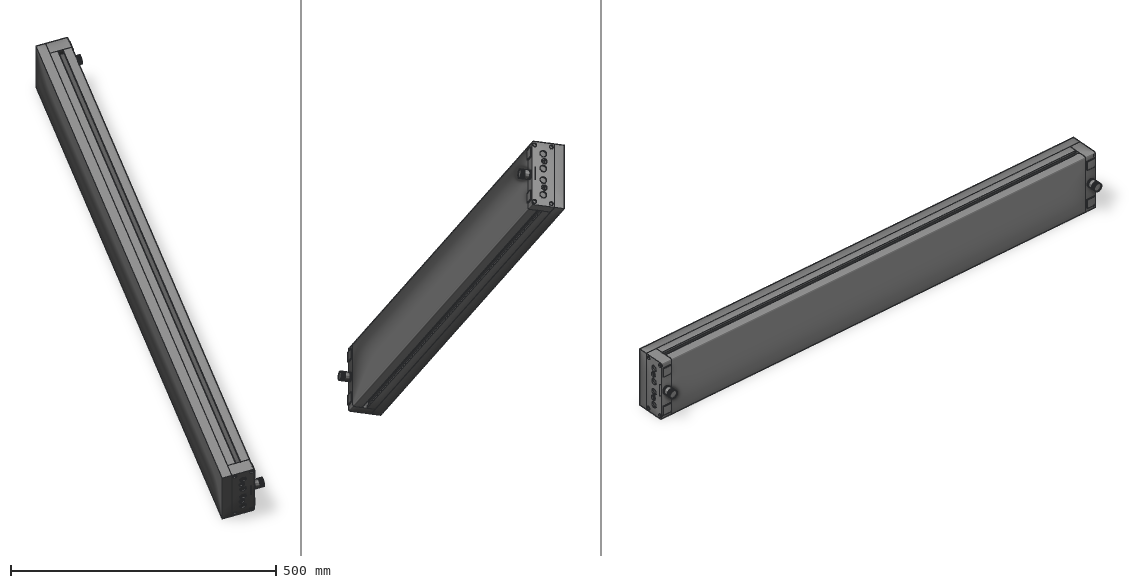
import cadquery as cq

LENGTH = 1072.0
HEIGHT = 130.0
DEPTH = 86.0
PANEL_DEPTH = 19.0
BACK = 64.0
CAP_LENGTH = 25.0
BACK_EDGE_RADIUS = 4.0

MOUTH_WIDTH = 10.0
LIP_DEPTH = 4.0
CAVITY_WIDTH = 16.0
SLOT_DEPTH = 13.0
SLOT_Y = 41.0

CONNECTOR_X = 12.0
CONNECTOR_DIAMETER = 18.0
FLANGE_LENGTH = 2.0
THREAD_LENGTH = 9.0
THREAD_PITCH = 2.0
THREAD_GROOVE_WIDTH = 1.0
THREAD_GROOVE_DEPTH = 1.0

PAD_HEIGHT = 19.0
PAD_THICKNESS = 2.7
PAD_WIDTH = 19.0
PAD_Z = 44.0

RECESS_DEPTH = 3.0
SCREW_DIAMETER = 8.0
SCREW_Z = 58.0
SCREW_YS = (26.0, 59.0)
PORT_DIAMETER = 13.0
PORT_Y = 42.0
PORT_ZS = (12.0, 42.0)
STEPPED_HOLE_DIAMETER = 11.0
STEPPED_HOLE_INNER_DIAMETER = 5.0
STEPPED_HOLE_Y = 40.0
STEPPED_HOLE_Z = 27.0
MARK_SLOT_Y = 58.0
MARK_SLOT_WIDTH = 1.0
MARK_SLOT_LENGTH = 26.0


def mirrored(distance):
    """Return the two positions at the same distance from the mid-plane."""
    return (-distance, distance)


def bar_length(x_start, length):
    """Return a stretch of the bar behind the front panel, with its back edges rounded."""
    return (
        cq.Workplane("XY")
        .box(length, BACK - PANEL_DEPTH, HEIGHT, centered=(False, False, True))
        .edges("|X and >Y")
        .fillet(BACK_EDGE_RADIUS)
        .translate((x_start, PANEL_DEPTH, 0))
    )


def make_panel():
    return cq.Workplane("XY").box(LENGTH, PANEL_DEPTH, HEIGHT, centered=(False, False, True))


def make_profile():
    length = LENGTH - 2 * CAP_LENGTH
    profile = bar_length(CAP_LENGTH, length)
    mouth = cq.Workplane("XY").box(length, MOUTH_WIDTH, HEIGHT)
    cavity = cq.Workplane("XY").box(length, CAVITY_WIDTH, HEIGHT - 2 * LIP_DEPTH)
    core = cq.Workplane("XY").box(length, CAVITY_WIDTH, HEIGHT - 2 * SLOT_DEPTH)
    slots = mouth.union(cavity).cut(core)
    return profile.cut(slots.translate((LENGTH / 2, SLOT_Y, 0)))


def make_connector():
    """Return the round connector, pointing to +Y from the back face of the left cap."""

    def disc(diameter, y_start, length):
        return (
            cq.Workplane("XZ", origin=(CONNECTOR_X, y_start, 0))
            .circle(diameter / 2)
            .extrude(-length)
        )

    connector = disc(CONNECTOR_DIAMETER, BACK, DEPTH - BACK)
    core_diameter = CONNECTOR_DIAMETER - 2 * THREAD_GROOVE_DEPTH
    groove = disc(CONNECTOR_DIAMETER, 0, THREAD_GROOVE_WIDTH).cut(
        disc(core_diameter, 0, THREAD_GROOVE_WIDTH)
    )
    groove_starts = [BACK + FLANGE_LENGTH]
    for i in range(round(THREAD_LENGTH / THREAD_PITCH)):
        groove_starts.append(DEPTH - THREAD_LENGTH + i * THREAD_PITCH)
    for y in groove_starts:
        connector = connector.cut(groove.translate((0, y, 0)))
    return connector


def end_hole(diameter, y, z, depth):
    """Return a round cutter going into the outer face of the left cap."""
    return cq.Workplane("YZ", origin=(0, y, z)).circle(diameter / 2).extrude(depth)


def make_left_cap():
    cap = bar_length(0, CAP_LENGTH).union(make_connector())
    pad = cq.Workplane("XY").box(PAD_WIDTH, PAD_THICKNESS, PAD_HEIGHT, centered=(True, False, True))
    for z in mirrored(PAD_Z):
        cap = cap.union(pad.translate((CAP_LENGTH / 2, BACK, z)))
    for z in mirrored(SCREW_Z):
        for y in SCREW_YS:
            cap = cap.cut(end_hole(SCREW_DIAMETER, y, z, RECESS_DEPTH))
    for distance in PORT_ZS:
        for z in mirrored(distance):
            cap = cap.cut(end_hole(PORT_DIAMETER, PORT_Y, z, RECESS_DEPTH))
    for z in mirrored(STEPPED_HOLE_Z):
        cap = cap.cut(end_hole(STEPPED_HOLE_DIAMETER, STEPPED_HOLE_Y, z, RECESS_DEPTH))
        cap = cap.cut(end_hole(STEPPED_HOLE_INNER_DIAMETER, STEPPED_HOLE_Y, z, 2 * RECESS_DEPTH))
    mark_slot = cq.Workplane("XY").box(2 * RECESS_DEPTH, MARK_SLOT_WIDTH, MARK_SLOT_LENGTH)
    return cap.cut(mark_slot.translate((0, MARK_SLOT_Y, 0)))


panel = make_panel()
profile = make_profile()
left_cap = make_left_cap()
right_cap = left_cap.mirror("YZ", (LENGTH / 2, 0, 0))

result = cq.Compound.makeCompound([panel.val(), profile.val(), left_cap.val(), right_cap.val()])